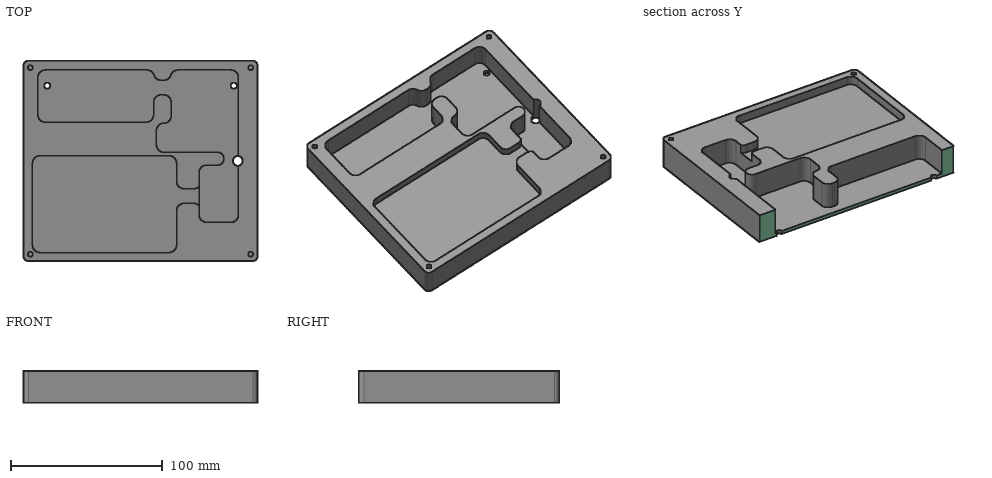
import cadquery as cq
import math

LENGTH = 154.3
WIDTH = 132.1
HEIGHT = 21.0
OUTER_RADIUS = 3.4

DEEP_DEPTH = 18.2
SHALLOW_DEPTH = 6.0
POCKET_RADIUS = 5.0

DEEP_LEFT = -67.6
DEEP_RIGHT = 64.5
DEEP_TOP = 59.9
DEEP_BOTTOM = -40.5
ARM_BOTTOM = 25.5
RIB_LEFT = 8.6
RIB_RIGHT = 20.2
RIB_TOP = 43.5
STEP_Y = 24.8
STEP_X = 10.5
FINGER_TOP = 5.7
FINGER_BOTTOM = -2.8
FINGER_END = 55.0
LOWER_LEFT = 38.6

BOSS_X = (RIB_LEFT + RIB_RIGHT) / 2
BOSS_TIP = 53.1

SHALLOW_LEFT = -71.1
SHALLOW_RIGHT = 23.8
SHALLOW_TOP = 3.4
SHALLOW_BOTTOM = -60.3
CHANNEL_TOP = -18.4
CHANNEL_BOTTOM = -28.0
MOUTH_X = 40.0
MOUTH_END = DEEP_RIGHT - POCKET_RADIUS
MOUTH_TOP = CHANNEL_TOP + 2 * POCKET_RADIUS
MOUTH_BOTTOM = CHANNEL_BOTTOM - 2 * POCKET_RADIUS

SCREW_DIAMETER = 3.2
SCREW_DEPTH = 10.0
SCREW_X = 72.5
SCREW_Y = 61.4
FLOOR_HOLE_DIAMETER = 3.9
FLOOR_HOLE_X = 61.4
FLOOR_HOLE_Y = 49.5
WALL_HOLE_DIAMETER = 6.3
WALL_HOLE_X = 64.0
WALL_HOLE_Y = 0.0


def rounded_prism(corners, bottom, top):
    """Extrude a closed outline of (x, y, radius) corners, rounding each corner tangentially."""
    path = None
    path_end = None
    count = len(corners)
    for i, (x, y, radius) in enumerate(corners):
        corner = cq.Vector(x, y)
        to_previous = (cq.Vector(*corners[i - 1][:2]) - corner).normalized()
        to_next = (cq.Vector(*corners[(i + 1) % count][:2]) - corner).normalized()
        half_angle = to_previous.getAngle(to_next) / 2
        setback = radius / math.tan(half_angle)
        start = corner + to_previous * setback
        end = corner + to_next * setback
        bisector = (to_previous + to_next).normalized()
        middle = corner + bisector * (radius / math.sin(half_angle) - radius)
        if path is None:
            path = cq.Workplane("XY", origin=(0, 0, bottom)).moveTo(start.x, start.y)
        elif (start - path_end).Length > 1.54e-06:
            path = path.lineTo(start.x, start.y)
        path = path.threePointArc((middle.x, middle.y), (end.x, end.y))
        path_end = end
    return path.close().extrude(top - bottom)


def wall_boss():
    """Flat-tipped boss on the top wall; each side is an S-curve of two equal, tangent arcs."""
    height = DEEP_TOP - BOSS_TIP
    half_flat = (RIB_RIGHT - RIB_LEFT) / 2 - POCKET_RADIUS
    turn = math.acos(1 - height / (2 * POCKET_RADIUS))
    half_base = half_flat + 2 * POCKET_RADIUS * math.sin(turn)

    mid_along = POCKET_RADIUS * math.sin(turn / 2)
    mid_across = POCKET_RADIUS * (1 - math.cos(turn / 2))
    join_dx = (half_flat + half_base) / 2
    join_y = (DEEP_TOP + BOSS_TIP) / 2
    base_mid = (half_base - mid_along, DEEP_TOP - mid_across)
    tip_mid = (half_flat + mid_along, BOSS_TIP + mid_across)

    return (
        cq.Workplane("XY", origin=(BOSS_X, 0, HEIGHT - DEEP_DEPTH))
        .moveTo(-half_base, DEEP_TOP)
        .threePointArc((-base_mid[0], base_mid[1]), (-join_dx, join_y))
        .threePointArc((-tip_mid[0], tip_mid[1]), (-half_flat, BOSS_TIP))
        .lineTo(half_flat, BOSS_TIP)
        .threePointArc(tip_mid, (join_dx, join_y))
        .threePointArc(base_mid, (half_base, DEEP_TOP))
        .close()
        .extrude(DEEP_DEPTH)
    )


def deep_pocket():
    finger_radius = (FINGER_TOP - FINGER_BOTTOM) / 2
    step_radius = (RIB_RIGHT - STEP_X) / 2
    corners = [
        (DEEP_LEFT, DEEP_TOP, POCKET_RADIUS),
        (DEEP_LEFT, ARM_BOTTOM, POCKET_RADIUS),
        (RIB_LEFT, ARM_BOTTOM, POCKET_RADIUS),
        (RIB_LEFT, RIB_TOP, POCKET_RADIUS),
        (RIB_RIGHT, RIB_TOP, POCKET_RADIUS),
        (RIB_RIGHT, STEP_Y, step_radius),
        (STEP_X, STEP_Y, step_radius),
        (STEP_X, FINGER_TOP, POCKET_RADIUS),
        (FINGER_END, FINGER_TOP, finger_radius),
        (FINGER_END, FINGER_BOTTOM, finger_radius),
        (LOWER_LEFT, FINGER_BOTTOM, POCKET_RADIUS),
        (LOWER_LEFT, DEEP_BOTTOM, POCKET_RADIUS),
        (DEEP_RIGHT, DEEP_BOTTOM, POCKET_RADIUS),
        (DEEP_RIGHT, DEEP_TOP, POCKET_RADIUS),
    ]
    return rounded_prism(corners, HEIGHT - DEEP_DEPTH, HEIGHT).cut(wall_boss())


def shallow_pocket():
    corners = [
        (SHALLOW_LEFT, SHALLOW_TOP, POCKET_RADIUS),
        (SHALLOW_LEFT, SHALLOW_BOTTOM, POCKET_RADIUS),
        (SHALLOW_RIGHT, SHALLOW_BOTTOM, POCKET_RADIUS),
        (SHALLOW_RIGHT, CHANNEL_BOTTOM, POCKET_RADIUS),
        (MOUTH_X, CHANNEL_BOTTOM, POCKET_RADIUS),
        (MOUTH_X, MOUTH_BOTTOM, POCKET_RADIUS),
        (MOUTH_END, MOUTH_BOTTOM, POCKET_RADIUS),
        (MOUTH_END, MOUTH_TOP, POCKET_RADIUS),
        (MOUTH_X, MOUTH_TOP, POCKET_RADIUS),
        (MOUTH_X, CHANNEL_TOP, POCKET_RADIUS),
        (SHALLOW_RIGHT, CHANNEL_TOP, POCKET_RADIUS),
        (SHALLOW_RIGHT, SHALLOW_TOP, POCKET_RADIUS),
    ]
    return rounded_prism(corners, HEIGHT - SHALLOW_DEPTH, HEIGHT)


def through_holes(diameter, centers):
    return cq.Workplane("XY").pushPoints(centers).circle(diameter / 2).extrude(HEIGHT)


def screw_holes():
    """Blind holes in the four corners of the rim."""
    return (
        cq.Workplane("XY", origin=(0, 0, HEIGHT))
        .rect(2 * SCREW_X, 2 * SCREW_Y, forConstruction=True)
        .vertices()
        .circle(SCREW_DIAMETER / 2)
        .extrude(-SCREW_DEPTH)
    )


block = cq.Workplane("XY").box(LENGTH, WIDTH, HEIGHT, centered=(True, True, False))
block = block.edges("|Z").fillet(OUTER_RADIUS)

floor_hole_centers = [(-FLOOR_HOLE_X, FLOOR_HOLE_Y), (FLOOR_HOLE_X, FLOOR_HOLE_Y)]

result = (
    block.cut(deep_pocket())
    .cut(shallow_pocket())
    .cut(screw_holes())
    .cut(through_holes(FLOOR_HOLE_DIAMETER, floor_hole_centers))
    .cut(through_holes(WALL_HOLE_DIAMETER, [(WALL_HOLE_X, WALL_HOLE_Y)]))
)